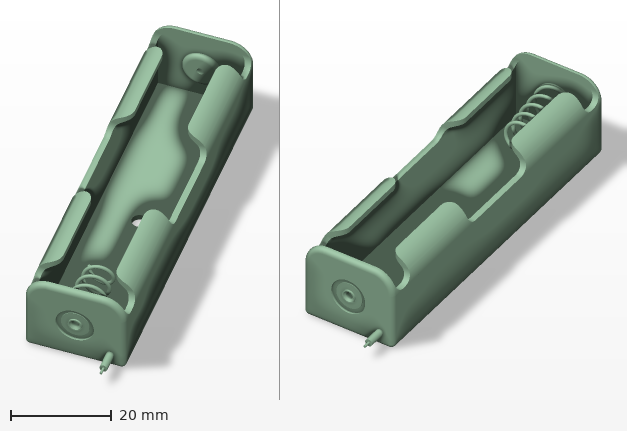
import cadquery as cq
import math


OVERALL_LENGTH = 87.0
WIDTH = 21.2
HEIGHT = 18.2
WALL = 1.3
CORNER_RADIUS = 5.0
EDGE_FILLET = 1.05
MOUNTING_HOLE_DIAMETER = 3.2

INSULATION_DIAMETER = 1.65
INSULATION_LENGTH = 4.0
STRAND_DIAMETER = 0.5
STRAND_LENGTH = 1.5
LEAD_OFFSET = 7.5
LEAD_HEIGHT = 3.2

TAB_INNER_END = 10.6
TAB_OUTER_END = 31.3
NOTCH_RADIUS = 2.5

CONTACT_HEIGHT = 9.0
RECESS_DIAMETER = 8.1
RECESS_DEPTH = 0.5
EYELET_INSET = 0.35
EYELET_DIAMETER = 6.1
EYELET_RIM_DIAMETER = 3.0
EYELET_FLARE_DIAMETER = 2.4
EYELET_BORE_DIAMETER = 1.6
BUTTON_DIAMETER = 8.2
BUTTON_HEIGHT = 1.05
BUTTON_FILLET = 1.0
SEAT_DIAMETER = 8.7
SEAT_THICKNESS = 0.35

SPRING_WIRE_DIAMETER = 0.8
SPRING_PITCH = 3.0
SPRING_TURNS = 4.87
SPRING_BASE_RADIUS = 4.0
SPRING_TAPER_PER_TURN = 0.3
SPRING_TIP_ANGLE = 180.0

HALF_WIDTH = WIDTH / 2
HALF_LENGTH = OVERALL_LENGTH / 2 - INSULATION_LENGTH - STRAND_LENGTH
INNER_HALF_LENGTH = HALF_LENGTH - WALL
EYELET_FACE = HALF_LENGTH - EYELET_INSET
SHOULDER_HEIGHT = HEIGHT - CORNER_RADIUS
TAB_TIP = HALF_WIDTH - CORNER_RADIUS


def make_shell():
    """Solid block with rounded top corners and softened outer edges."""
    block = cq.Workplane("XY").box(WIDTH, 2 * HALF_LENGTH, HEIGHT, centered=(True, True, False))
    block = block.edges("|Y and >Z").fillet(CORNER_RADIUS)
    return block.faces("<Y or >Y or <Z").edges().fillet(EDGE_FILLET)


def make_cavity():
    """Cell space that follows the rounded corners and is open between the tab tips."""
    half = HALF_WIDTH - WALL
    inner_radius = CORNER_RADIUS - WALL
    bend = inner_radius * math.sqrt(0.5)
    return (
        cq.Workplane("XZ", origin=(0, INNER_HALF_LENGTH, 0))
        .moveTo(-half, WALL)
        .lineTo(half, WALL)
        .lineTo(half, SHOULDER_HEIGHT)
        .threePointArc((TAB_TIP + bend, SHOULDER_HEIGHT + bend), (TAB_TIP, HEIGHT - WALL))
        .lineTo(TAB_TIP, HEIGHT)
        .lineTo(-TAB_TIP, HEIGHT)
        .lineTo(-TAB_TIP, HEIGHT - WALL)
        .threePointArc((-TAB_TIP - bend, SHOULDER_HEIGHT + bend), (-half, SHOULDER_HEIGHT))
        .close()
        .extrude(2 * INNER_HALF_LENGTH)
    )


def make_notch(y_start, y_end):
    """Cut across both sides down to the shoulder, with rounded lower corners."""
    return (
        cq.Workplane("XY")
        .box(WIDTH, y_end - y_start, CORNER_RADIUS, centered=(True, False, False))
        .edges("|X and <Z")
        .fillet(NOTCH_RADIUS)
        .translate((0, y_start, SHOULDER_HEIGHT))
    )


def make_tab_trim(y_start, y_end):
    """Waste around the four rounded plan corners of one pair of tabs."""
    length = y_end - y_start
    middle = (0, (y_start + y_end) / 2, SHOULDER_HEIGHT)
    strip = cq.Workplane("XY", origin=middle).rect(WIDTH, length).extrude(CORNER_RADIUS)
    for side in (-1, 1):
        tab_width = HALF_WIDTH - TAB_TIP
        tab = (
            cq.Workplane("XY", origin=middle)
            .center(side * (TAB_TIP + tab_width / 2), 0)
            .rect(tab_width, length)
            .extrude(CORNER_RADIUS)
            .edges("|Z and " + (">X" if side < 0 else "<X"))
            .fillet(NOTCH_RADIUS)
        )
        strip = strip.cut(tab)
    return strip


def make_rod(diameter, x, z, y_start, y_end):
    """Round rod along +Y."""
    return (
        cq.Workplane("XZ", origin=(x, y_start, z))
        .circle(diameter / 2)
        .extrude(y_start - y_end)
    )


def make_lead():
    """Insulated lead with a bare strand, leaving the +Y end wall."""
    insulation_end = HALF_LENGTH + INSULATION_LENGTH
    insulation = make_rod(INSULATION_DIAMETER, -LEAD_OFFSET, LEAD_HEIGHT, HALF_LENGTH - WALL, insulation_end)
    strand = make_rod(STRAND_DIAMETER, -LEAD_OFFSET, LEAD_HEIGHT, insulation_end, OVERALL_LENGTH / 2)
    return insulation.union(strand)


def make_contact_hole():
    """Stepped hole through the +Y end wall: recess outside, eyelet hole inside."""
    recess = make_rod(RECESS_DIAMETER, 0, CONTACT_HEIGHT, HALF_LENGTH - RECESS_DEPTH, HALF_LENGTH)
    return recess.union(make_rod(EYELET_DIAMETER, 0, CONTACT_HEIGHT, INNER_HALF_LENGTH, HALF_LENGTH))


def at_other_end(body):
    """Body turned half a turn about Z, from the +Y end to the -Y end."""
    return body.rotate((0, 0, 0), (0, 0, 1), 180)


def make_housing():
    housing = make_shell().cut(make_cavity())
    housing = housing.cut(make_notch(-TAB_INNER_END, TAB_INNER_END))
    end_notch = make_notch(TAB_OUTER_END, INNER_HALF_LENGTH)
    tab_trim = make_tab_trim(TAB_INNER_END, TAB_OUTER_END)
    for waste in (end_notch, tab_trim, make_contact_hole()):
        housing = housing.cut(waste).cut(at_other_end(waste))
    housing = housing.cut(cq.Workplane("XY").circle(MOUNTING_HOLE_DIAMETER / 2).extrude(WALL))
    lead = make_lead()
    return housing.union(lead).union(at_other_end(lead))


def make_eyelet():
    """Body of a contact at the +Y end with its raised rim, without the bore."""
    body = make_rod(EYELET_DIAMETER, 0, CONTACT_HEIGHT, INNER_HALF_LENGTH, EYELET_FACE)
    return body.union(make_rod(EYELET_RIM_DIAMETER, 0, CONTACT_HEIGHT, EYELET_FACE, HALF_LENGTH))


def make_eyelet_bore():
    """Through bore with a 45 degree flare that opens at the rim."""
    bore_radius = EYELET_BORE_DIAMETER / 2
    flare_radius = EYELET_FLARE_DIAMETER / 2
    inner_end = INNER_HALF_LENGTH - BUTTON_HEIGHT
    return (
        cq.Workplane("XY")
        .moveTo(0, inner_end)
        .lineTo(bore_radius, inner_end)
        .lineTo(bore_radius, HALF_LENGTH - (flare_radius - bore_radius))
        .lineTo(flare_radius, HALF_LENGTH)
        .lineTo(0, HALF_LENGTH)
        .close()
        .revolve(360, (0, 0, 0), (0, 1, 0))
        .translate((0, 0, CONTACT_HEIGHT))
    )


def make_button_contact():
    """Eyelet with a round-edged button facing the cell."""
    face = INNER_HALF_LENGTH - BUTTON_HEIGHT
    button = make_rod(BUTTON_DIAMETER, 0, CONTACT_HEIGHT, face, INNER_HALF_LENGTH)
    button = button.edges("<Y").fillet(BUTTON_FILLET)
    return button.union(make_eyelet()).cut(make_eyelet_bore())


def make_spring():
    """Conical coil along +Y, its first turn resting on the -Y end wall."""
    taper_angle = math.degrees(math.atan2(SPRING_TAPER_PER_TURN, SPRING_PITCH))
    path = cq.Wire.makeHelix(SPRING_PITCH, SPRING_PITCH * SPRING_TURNS, SPRING_BASE_RADIUS, angle=-taper_angle)
    coil = (
        cq.Workplane("XZ", origin=(SPRING_BASE_RADIUS, 0, 0))
        .circle(SPRING_WIRE_DIAMETER / 2)
        .sweep(cq.Workplane(path), isFrenet=True)
    )
    start_angle = SPRING_TIP_ANGLE - 360 * SPRING_TURNS
    return (
        coil.rotate((0, 0, 0), (0, 0, 1), start_angle)
        .rotate((0, 0, 0), (1, 0, 0), -90)
        .translate((0, SPRING_WIRE_DIAMETER / 2 - INNER_HALF_LENGTH, CONTACT_HEIGHT))
    )


def make_spring_contact():
    """Eyelet with a thin seat that carries the conical spring."""
    seat = make_rod(SEAT_DIAMETER, 0, CONTACT_HEIGHT, INNER_HALF_LENGTH - SEAT_THICKNESS, INNER_HALF_LENGTH)
    eyelet = seat.union(make_eyelet()).cut(make_eyelet_bore())
    return at_other_end(eyelet).union(make_spring())


housing = make_housing()
spring_contact = make_spring_contact()
button_contact = make_button_contact()

result = cq.Compound.makeCompound([housing.val(), spring_contact.val(), button_contact.val()])